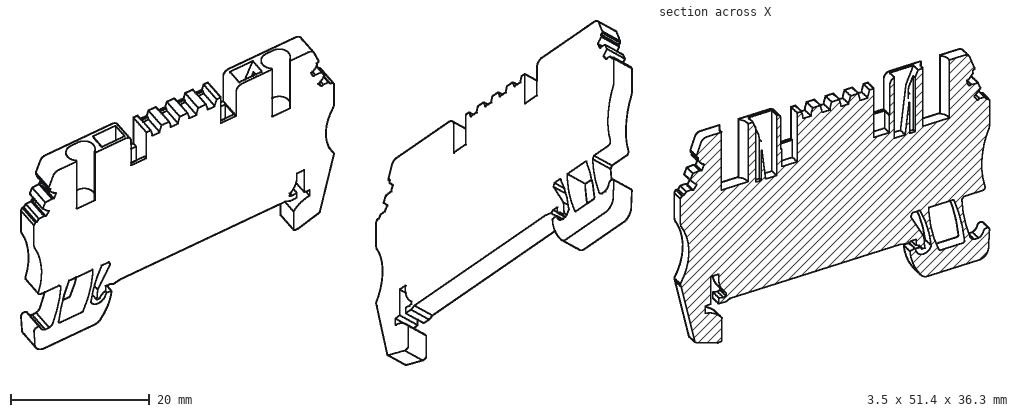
import cadquery as cq
width = 3.5
length = 51.43
height = 36.25

half_width = width / 2
end_y = length / 2
upper_axis_y = -0.07

foot_top = 11.8
rail_face = 7.0
waist_top = 22.7
grip_top = 22.2
grip_y = end_y - 0.1
slot_floor = 30.0
crest_top = 35.45

rear_tip = (end_y, 12.3)
rear_lip_y = end_y - 0.1

head_radius = 1.05
waist_radius = 0.45
claw_radius = 0.3
window_radius = 0.25

slot_inner_y = 6.38
slot_outer_y = 9.0
slot_pocket_x = (-1.0, 1.3)
slot_pocket_depth = 3.0
slot_pocket_ledge = 0.1

groove_count = 4
groove_pitch = 3.15
groove_floor_half = 0.64
groove_mouth_half = 0.92
groove_depth = 0.95

recess_lip_x = -1.4
recess_slope = 0.15
recess_depth = 0.35

wire_hole_x = 0.27
wire_hole_y = 16.72
wire_hole_length = 4.4
wire_hole_diameter = 3.15
wire_hole_depth = 10.0

driver_x = (-1.15, 1.3)
driver_inner_y = 9.8
driver_floor_end_y = 11.55
driver_step_y = 12.45
driver_outer_y = 13.7
driver_step_depth = 2.9
driver_depth = 10.5
driver_slit_x = (-0.2, 0.5)
driver_slit_y = (12.35, 13.2)

sides = (1, -1)


def extrude_profile(sketch):
    """Extrude a closed YZ wire over the full width, centred on X."""
    return sketch.close().extrude(half_width, both=True)


def box_between(x_range, y_range, z_range):
    """Box given by its limits along each axis."""
    spans = [b - a for a, b in (x_range, y_range, z_range)]
    return (
        cq.Workplane("XY")
        .box(*spans, centered=False)
        .translate((x_range[0], y_range[0], z_range[0]))
    )


def round_corners(body, radius, corners):
    """Fillet the X-parallel edges that pass through the given (y, z) corners."""
    picked = cq.Workplane("XY").newObject([])
    for y, z in corners:
        picked = picked.add(body.edges("|X").edges(cq.NearestToPointSelector((0, y, z))))
    return cq.Workplane(body.val().fillet(radius, picked.vals()))


def on_upper_side(body, side):
    """Place a body modelled for the +Y half of the upper housing on the given side."""
    placed = body if side > 0 else body.mirror("XZ")
    return placed.translate((0, upper_axis_y, 0))


def floor_recess(start, end):
    """Shallow recess sunk into the floor running from start to end, given as (y, z).

    The material lies to the right of that direction, seen from the -X side with +Y
    drawn to the right. A thin wall with a sloped flank stays on the -X side, and
    the recess is open on the +X face.
    """
    run = cq.Vector(0, *end) - cq.Vector(0, *start)
    across_floor = cq.Plane(origin=(0, *start), xDir=(1, 0, 0), normal=run.toTuple())
    return (
        cq.Workplane(across_floor)
        .polyline([
            (recess_lip_x, 0),
            (half_width, 0),
            (half_width, recess_depth),
            (recess_lip_x + recess_slope, recess_depth),
        ])
        .close()
        .extrude(run.Length)
    )


def upper_half(side):
    """Top of the housing at one end, measured from its mirror plane."""
    reach = end_y - side * upper_axis_y
    shoulder = (22.1, height)
    slot_mouth = (slot_outer_y, height)
    latch_floors = [
        ((22.15, 31.75), (22.55, 30.8)),
        ((23.35, 28.75), (23.9, 27.95)),
    ]
    outline = [
        (0, waist_top),
        (0, crest_top),
        (slot_inner_y, crest_top),
        (slot_inner_y, slot_floor),
        (slot_outer_y, slot_floor),
        slot_mouth,
        shoulder,
        (23.1, 33.5),
        (23.1, 33.2),
        (22.8, 33.05),
        (22.9, 32.6),
        *latch_floors[0],
        (23.7, 30.7),
        (24.15, 29.65),
        *latch_floors[1],
        (24.8, 27.9),
        (25.15, 27.4),
        (reach - 0.25, 27.45),
        (reach, 27.0),
        (reach, waist_top),
    ]
    half = extrude_profile(cq.Workplane("YZ").polyline(outline))
    half = round_corners(half, head_radius, [slot_mouth, shoulder])
    for upper_end, lower_end in latch_floors:
        half = half.cut(floor_recess(upper_end, lower_end))
    return half


def waist():
    """Middle of the housing, with a concave finger grip in each end face."""
    front_corner = (-25.05, foot_top)
    sketch = (
        cq.Workplane("YZ")
        .moveTo(end_y, waist_top)
        .lineTo(grip_y, grip_top)
        .threePointArc((24.3, 17.4), rear_tip)
        .lineTo(rear_lip_y, foot_top)
        .lineTo(*front_corner)
        .lineTo(-24.93, 12.5)
        .threePointArc((-24.42, 15.6), (-24.55, 18.3))
        .threePointArc((-24.95, 20.35), (-grip_y, grip_top))
        .lineTo(-end_y, waist_top)
    )
    return round_corners(extrude_profile(sketch), waist_radius, [front_corner])


def rail_seat():
    """Block resting on the rail, with a hook lip at each of its ends."""
    sketch = (
        cq.Workplane("YZ")
        .moveTo(19.34, foot_top)
        .lineTo(19.34, 10.8)
        .threePointArc((18.95, 9.3), (18.1, 8.2))
        .lineTo(18.1, 7.7)
        .lineTo(18.55, 7.6)
        .lineTo(19.3, 7.75)
        .lineTo(19.3, 6.7)
        .lineTo(18.1, 6.65)
        .lineTo(17.4, rail_face)
        .lineTo(-10.95, rail_face)
        .lineTo(-12.1, 6.7)
        .lineTo(-12.6, rail_face)
        .lineTo(-13.45, rail_face)
        .lineTo(-13.45, 6.0)
        .threePointArc((-14.05, 5.7), (-14.45, 5.05))
        .lineTo(-14.95, 5.05)
        .lineTo(-14.8, 7.1)
        .lineTo(-12.65, 11.2)
        .lineTo(-12.85, foot_top)
    )
    return extrude_profile(sketch)


def fixed_foot():
    """Rigid rail claw on the +Y end."""
    heel = (23.25, 1.3)
    toe = (18.75, 0)
    throat = (21.5, 5.85)
    sketch = (
        cq.Workplane("YZ")
        .moveTo(*rear_tip)
        .lineTo(*heel)
        .lineTo(19.5, 0)
        .lineTo(*toe)
        .lineTo(18.75, 4.1)
        .threePointArc((19.9, 5.25), throat)
        .lineTo(21.5, 7.0)
        .lineTo(20.6, 7.1)
        .lineTo(20.6, foot_top)
        .lineTo(rear_lip_y, foot_top)
    )
    return round_corners(extrude_profile(sketch), claw_radius, [heel, toe])


def spring_foot():
    """Flexible rail clip on the -Y end, hung from two thin curved legs."""
    sketch = (
        cq.Workplane("YZ")
        .moveTo(-14.1, foot_top)
        .threePointArc((-15.2, 8.9), (-15.95, 5.2))
        .threePointArc((-15.0, 4.2), (-13.45, 5.2))
        .lineTo(-13.25, 5.6)
        .lineTo(-12.4, 5.4)
        .threePointArc((-12.9, 3.1), (-14.2, 0.7))
        .threePointArc((-14.7, 0.2), (-15.4, 0))
        .lineTo(-24.1, 0)
        .threePointArc((-25.1, 0.55), (-25.55, 1.9))
        .lineTo(-25.7, 4.5)
        .threePointArc((-25.12, 5.2), (-24.6, 4.75))
        .threePointArc((-24.3, 4.2), (-23.8, 3.9))
        .lineTo(-23.1, 3.9)
        .threePointArc((-22.7, 4.15), (-22.45, 4.6))
        .threePointArc((-21.5, 8.1), (-21.1, 11.35))
        .lineTo(-21.4, foot_top)
    )
    return extrude_profile(sketch).cut(leg_window())


def leg_window():
    """Opening between the two legs of the spring foot."""
    corners = [(-17.35, 3.9), (-21.5, 3.9)]
    sketch = (
        cq.Workplane("YZ")
        .moveTo(-15.65, foot_top)
        .lineTo(-15.65, 10.9)
        .threePointArc((-16.2, 7.3), corners[0])
        .lineTo(*corners[1])
        .threePointArc((-20.7, 8.6), (-19.7, foot_top))
    )
    return round_corners(extrude_profile(sketch), window_radius, corners)


def marking_groove(y):
    """Tapered groove across the crest, with a recess in its floor."""
    floor_z = crest_top - groove_depth
    floor_corners = [(y - groove_floor_half, floor_z), (y + groove_floor_half, floor_z)]
    sketch = cq.Workplane("YZ").polyline([
        (y - groove_mouth_half, crest_top),
        *floor_corners,
        (y + groove_mouth_half, crest_top),
    ])
    return extrude_profile(sketch).union(floor_recess(*floor_corners))


def slot_pocket():
    """Pocket in the floor of a slot, stopping just short of the outer wall."""
    return box_between(
        slot_pocket_x,
        (slot_inner_y, slot_outer_y - slot_pocket_ledge),
        (slot_floor - slot_pocket_depth, slot_floor),
    )


def wire_hole():
    """Obround wire entry, elongated along Y, with a straight opening to the +X face."""
    hole = (
        cq.Workplane("XY", origin=(wire_hole_x, wire_hole_y, height))
        .slot2D(wire_hole_length, wire_hole_diameter, 90)
        .extrude(-wire_hole_depth)
    )
    opening_half = wire_hole_diameter / 2
    opening = box_between(
        (wire_hole_x, half_width),
        (wire_hole_y - opening_half, wire_hole_y + opening_half),
        (height - wire_hole_depth, height),
    )
    return hole.union(opening)


def driver_pocket():
    """Screwdriver pocket with a two-stage sloped outer wall and a small slit in it."""
    pocket = (
        cq.Workplane("YZ", origin=(driver_x[0], 0, 0))
        .polyline([
            (driver_inner_y, height),
            (driver_inner_y, height - driver_depth),
            (driver_floor_end_y, height - driver_depth),
            (driver_step_y, height - driver_step_depth),
            (driver_outer_y, height),
        ])
        .close()
        .extrude(driver_x[1] - driver_x[0])
    )
    slit = box_between(driver_slit_x, driver_slit_y, (height - driver_depth, height))
    return pocket.union(slit)


result = waist().union(rail_seat()).union(fixed_foot()).union(spring_foot())
for side in sides:
    result = result.union(on_upper_side(upper_half(side), side))

for index in range(groove_count):
    groove_y = upper_axis_y + (index - (groove_count - 1) / 2) * groove_pitch
    result = result.cut(marking_groove(groove_y))

for side in sides:
    for feature in (slot_pocket(), wire_hole(), driver_pocket()):
        result = result.cut(on_upper_side(feature, side))

result = result.clean()